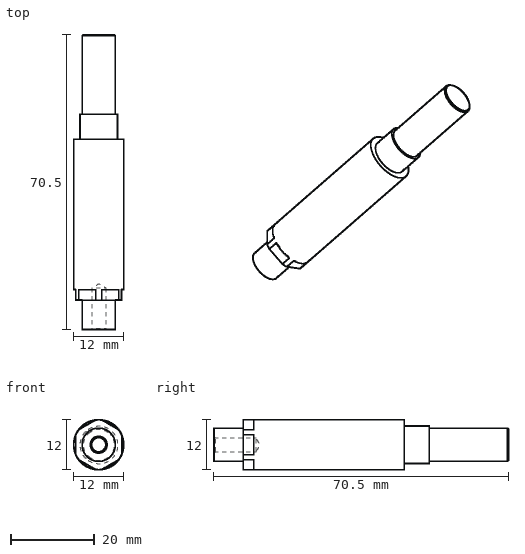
import cadquery as cq
import math

total_length = 70.5
spigot_length = 7.05
body_length = 38.5
collar_length = 6.0
rod_length = total_length - spigot_length - body_length - collar_length

body_diameter = 12.0
collar_diameter = 9.0
rod_diameter = 8.0
spigot_diameter = rod_diameter
rod_chamfer = 0.3

across_flats = 11.0
flats_length = 2.55

hole_diameter = 3.4
hole_depth = 10.0
countersink_diameter = 4.0
drill_point_angle = 118.0


def cylinder(start, length, diameter):
    """Solid cylinder on the Y axis, running from start towards +Y."""
    return cq.Workplane("XZ", origin=(0, start, 0)).circle(diameter / 2).extrude(-length)


def stepped_shaft():
    body_start = spigot_length
    collar_start = body_start + body_length
    rod_start = collar_start + collar_length
    rod = cylinder(rod_start, rod_length, rod_diameter).faces(">Y").chamfer(rod_chamfer)
    return (
        cylinder(0, spigot_length, spigot_diameter)
        .union(cylinder(body_start, body_length, body_diameter))
        .union(cylinder(collar_start, collar_length, collar_diameter))
        .union(rod)
    )


def wrench_flat_cutter():
    """Ring left outside a hexagon that has two flats facing +X and -X."""
    across_corners = across_flats / math.cos(math.pi / 6)
    hexagon = (
        cq.Workplane("XZ", origin=(0, spigot_length, 0))
        .polygon(6, across_corners)
        .extrude(-flats_length)
        .rotate((0, 0, 0), (0, 1, 0), 30)
    )
    return cylinder(spigot_length, flats_length, 2 * body_diameter).cut(hexagon)


def drilled_hole():
    """Revolved hole with a 45 degree countersink and a conical drill point."""
    hole_radius = hole_diameter / 2
    countersink_radius = countersink_diameter / 2
    countersink_depth = countersink_radius - hole_radius
    point_depth = hole_radius / math.tan(math.radians(drill_point_angle / 2))
    profile = [
        (0, 0),
        (countersink_radius, 0),
        (hole_radius, countersink_depth),
        (hole_radius, hole_depth),
        (0, hole_depth + point_depth),
    ]
    return cq.Workplane("XY").polyline(profile).close().revolve(360, (0, 0, 0), (0, 1, 0))


result = stepped_shaft().cut(wrench_flat_cutter()).cut(drilled_hole())